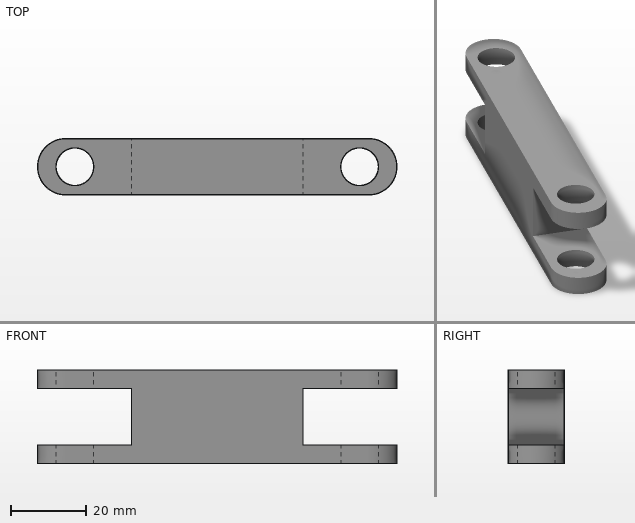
import cadquery as cq

length = 95.8
width = 15.0
height = 25.0
plate_thickness = 5.0
slot_depth = 25.0
hole_diameter = 10.0
hole_inset = 10.0

slot_height = height - 2 * plate_thickness
hole_x = length / 2 - hole_inset
slot_x = (length - slot_depth) / 2

link = cq.Workplane("XY").slot2D(length, width).extrude(height / 2, both=True)

for side in (-1, 1):
    slot = cq.Workplane("XY").box(slot_depth, width, slot_height)
    link = link.cut(slot.translate((side * slot_x, 0, 0)))

pin_holes = (
    cq.Workplane("XY")
    .pushPoints([(-hole_x, 0), (hole_x, 0)])
    .circle(hole_diameter / 2)
    .extrude(height / 2, both=True)
)

result = link.cut(pin_holes)